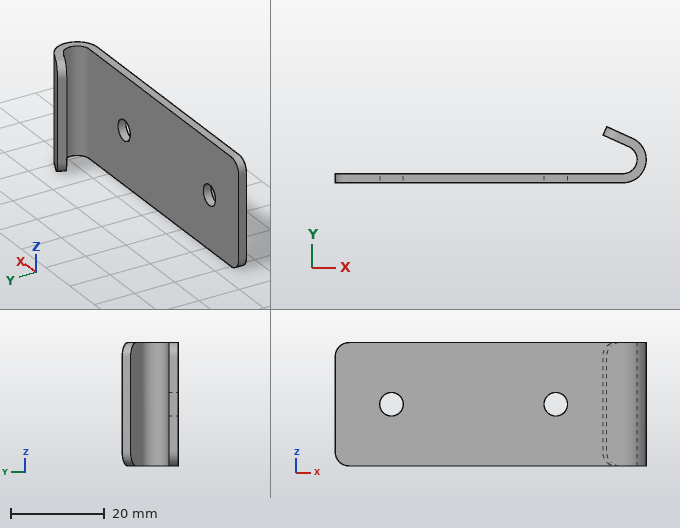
import cadquery as cq
import math

length = 66.25
depth = 12.0
width = 26.3

thickness = 2.0
inner_radius = 3.0
outer_radius = inner_radius + thickness
lip_angle = 24.3

corner_radius = 3.0
hole_diameter = 5.0
first_hole_x = 12.0
hole_spacing = 35.0
hole_count = 2

bend_x = length - outer_radius
bend_y = outer_radius
slope = math.radians(lip_angle)
lip_direction = (-math.cos(slope), math.sin(slope))
bend_end_height = bend_y + outer_radius * math.cos(slope)
lip_length = (depth - bend_end_height) / math.sin(slope)


def bend_point(radius, degrees):
    """Point around the bend axis, with the angle measured from +X."""
    angle = math.radians(degrees)
    return (bend_x + radius * math.cos(angle), bend_y + radius * math.sin(angle))


def lip_end(radius):
    """Free end of the lip face that is tangent to the bend at this radius."""
    start_x, start_y = bend_point(radius, 90 - lip_angle)
    return (start_x + lip_length * lip_direction[0], start_y + lip_length * lip_direction[1])


def bent_strip():
    """Flat plate, round bend and straight lip, as one constant-thickness profile."""
    return (
        cq.Workplane("XY")
        .moveTo(0, 0)
        .lineTo(bend_x, 0)
        .threePointArc(bend_point(outer_radius, 0), bend_point(outer_radius, 90 - lip_angle))
        .lineTo(*lip_end(outer_radius))
        .lineTo(*lip_end(inner_radius))
        .lineTo(*bend_point(inner_radius, 90 - lip_angle))
        .threePointArc(bend_point(inner_radius, 0), bend_point(inner_radius, -90))
        .lineTo(0, thickness)
        .close()
        .extrude(width)
    )


def round_plate_corners(strip):
    """Round the two corners at the free end of the plate."""
    return strip.faces("<X").edges("|Y").fillet(corner_radius)


def round_lip_corners(strip):
    """Round the two corners at the free end of the lip."""
    across_lip = cq.selectors.ParallelDirSelector(cq.Vector(math.sin(slope), math.cos(slope), 0))
    return strip.edges(across_lip).fillet(corner_radius)


def plate_holes():
    """Cutters for the through holes on the plate's centre line."""
    hole_centres = [(first_hole_x + i * hole_spacing, width / 2) for i in range(hole_count)]
    return (
        cq.Workplane("XZ")
        .pushPoints(hole_centres)
        .circle(hole_diameter / 2)
        .extrude(-thickness)
    )


result = round_lip_corners(round_plate_corners(bent_strip())).cut(plate_holes())